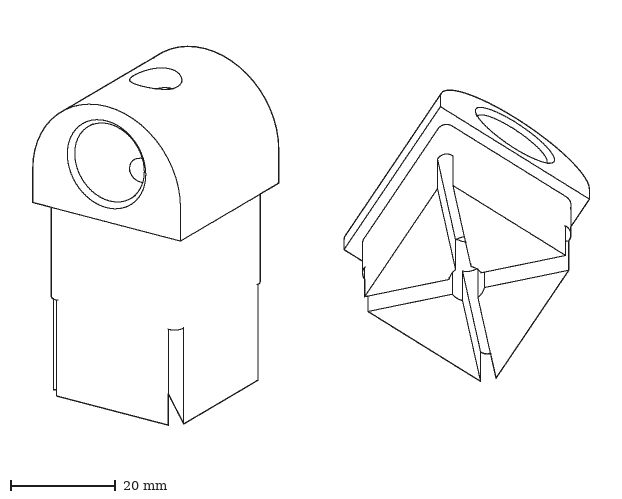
import cadquery as cq

total_height = 64.0
head_width = 34.0
shank_width = 29.95
shank_height = 40.0
corner_radius = 2.0

slot_height = 20.0
slot_width = 3.0

bore_diameter = 16.0
bore_chamfer = 1.0
bore_center_height = 52.0

bolt_diameter = 7.0
counterbore_diameter = 10.0
counterbore_floor = shank_height

half_head = head_width / 2
arch_spring_height = total_height - half_head


def make_head():
    """Round-topped block, extruded symmetrically along Y."""
    return (
        cq.Workplane("XZ")
        .moveTo(-half_head, shank_height)
        .lineTo(half_head, shank_height)
        .lineTo(half_head, arch_spring_height)
        .threePointArc((0, total_height), (-half_head, arch_spring_height))
        .close()
        .extrude(half_head, both=True)
    )


def make_shank():
    """Square shank with rounded corners and two crossing diagonal slots."""
    shank = (
        cq.Workplane("XY")
        .rect(shank_width, shank_width)
        .extrude(shank_height)
        .edges("|Z")
        .fillet(corner_radius)
    )
    slot_length = 2 * shank_width
    for angle in (45, -45):
        slot = (
            cq.Workplane("XY")
            .transformed(rotate=(0, 0, angle))
            .rect(slot_length, slot_width)
            .extrude(slot_height)
        )
        shank = shank.cut(slot)
    return shank


def make_cross_bore():
    """Cutter for the cross bore, flared at each end by the chamfer."""
    bore_radius = bore_diameter / 2
    mouth_radius = bore_radius + bore_chamfer
    chamfer_start = half_head - bore_chamfer
    return (
        cq.Workplane("XY")
        .moveTo(0, -half_head)
        .lineTo(mouth_radius, -half_head)
        .lineTo(bore_radius, -chamfer_start)
        .lineTo(bore_radius, chamfer_start)
        .lineTo(mouth_radius, half_head)
        .lineTo(0, half_head)
        .close()
        .revolve(360, (0, 0, 0), (0, 1, 0))
        .translate((0, 0, bore_center_height))
    )


def make_bolt_hole():
    """Cutter for the full-height bolt hole and its flat-bottomed counterbore."""
    hole = cq.Workplane("XY").circle(bolt_diameter / 2).extrude(total_height)
    counterbore = (
        cq.Workplane("XY", origin=(0, 0, counterbore_floor))
        .circle(counterbore_diameter / 2)
        .extrude(total_height - counterbore_floor)
    )
    return hole.union(counterbore)


result = make_head().union(make_shank()).cut(make_cross_bore()).cut(make_bolt_hole())